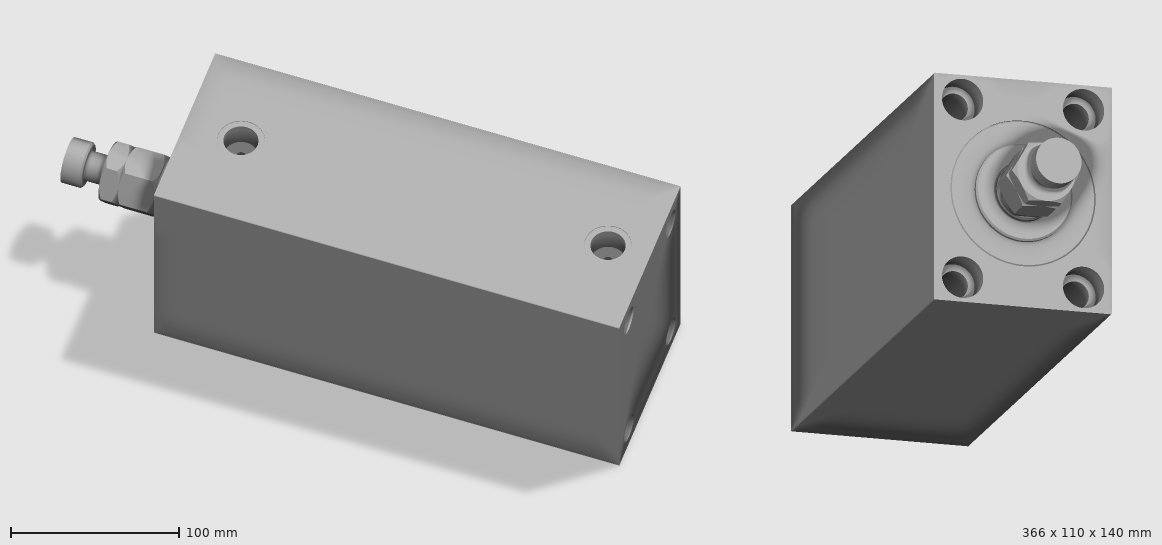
import cadquery as cq
import math


TOTAL_LENGTH = 366.0

BLOCK_LENGTH = 292.8
BLOCK_WIDTH = 110.0
BLOCK_HEIGHT = 140.0
BLOCK_EDGE_CHAMFER = 0.5

BOLT_SPACING_Y = 75.0
BOLT_SPACING_Z = 109.8
BOLT_HOLE_DIAMETER = 17.2
BOLT_HEAD_DIAMETER = 25.5
BOLT_HEAD_DEPTH = 17.5

FRONT_PORT_X = 35.5
REAR_PORT_INSET = 26.5
REAR_PORT_X = BLOCK_LENGTH - REAR_PORT_INSET
PORT_FACE_DIAMETER = 28.5
PORT_FACE_DEPTH = 0.5
PORT_DIAMETER = 21.0
PORT_DEPTH = 16.0
PORT_DRILL_DIAMETER = 6.0

GLAND_DIAMETER = 90.0
GLAND_DEPTH = 37.5
GLAND_EDGE_CHAMFER = 0.9
COLLAR_DIAMETER = 60.0
COLLAR_LENGTH = 3.3
COLLAR_CHAMFER = 1.0
GLAND_BORE_CHAMFER = 1.0

ROD_DIAMETER = 36.0
ROD_FRONT_X = -14.0
ROD_REAR_X = REAR_PORT_X + PORT_FACE_DIAMETER / 2
ROD_CHAMFER = 1.0
ROD_SHOULDER_X = -6.2
ROD_END_DIAMETER = 35.0
ROD_FLAT_SIZE = 32.0

HEAD_DIAMETER = 28.0
HEAD_LENGTH = 12.8
HEAD_CHAMFER = 1.0
NECK_DIAMETER = 18.3
NECK_LENGTH = 12.5
NECK_FILLET = 1.0
HEX_FLAT_SIZE = 36.0
HEX_CHAMFER_LENGTH = 2.5
HEAD_FRONT_X = BLOCK_LENGTH - TOTAL_LENGTH
NECK_FRONT_X = HEAD_FRONT_X + HEAD_LENGTH
THIN_HEX_X = NECK_FRONT_X + NECK_LENGTH
THICK_HEX_X = -36.2


def rod_along_x(diameter, start_x, end_x):
    """Round bar on the main axis between two X positions."""
    return cq.Workplane("YZ", origin=(start_x, 0, 0)).circle(diameter / 2).extrude(end_x - start_x)


def hole_down(x, diameter, depth):
    """Cutter for a round hole going down from the top face."""
    return cq.Workplane("XY", origin=(x, 0, BLOCK_HEIGHT / 2)).circle(diameter / 2).extrude(-depth)


def make_port(x):
    """Cutter for a port: shallow face, main bore and a fine drilling down to the rod axis."""
    port = hole_down(x, PORT_FACE_DIAMETER, PORT_FACE_DEPTH)
    port = port.union(hole_down(x, PORT_DIAMETER, PORT_DEPTH))
    return port.union(hole_down(x, PORT_DRILL_DIAMETER, BLOCK_HEIGHT / 2))


def make_housing():
    """Block with bolt holes, a bore for the gland, a deeper bore for the rod and two ports."""
    block = cq.Workplane("XY").box(BLOCK_LENGTH, BLOCK_WIDTH, BLOCK_HEIGHT, centered=(False, True, True))
    block = block.edges("|X").chamfer(BLOCK_EDGE_CHAMFER)
    block = (
        block.faces("<X")
        .workplane(origin=(0, 0, 0))
        .rarray(BOLT_SPACING_Y, BOLT_SPACING_Z, 2, 2)
        .cboreHole(BOLT_HOLE_DIAMETER, BOLT_HEAD_DIAMETER, BOLT_HEAD_DEPTH)
    )
    gland_bore = rod_along_x(GLAND_DIAMETER, 0, GLAND_DEPTH)
    rod_bore = rod_along_x(ROD_DIAMETER, 0, ROD_REAR_X)
    block = block.cut(gland_bore).cut(rod_bore)
    for port_x in (FRONT_PORT_X, REAR_PORT_X):
        block = block.cut(make_port(port_x))
    return block


def make_gland():
    """Flush bushing with a chamfered rim and a raised collar around the rod."""
    body = rod_along_x(GLAND_DIAMETER, 0, GLAND_DEPTH).faces("<X").chamfer(GLAND_EDGE_CHAMFER)
    collar = rod_along_x(COLLAR_DIAMETER, -COLLAR_LENGTH, 0).faces("<X").chamfer(COLLAR_CHAMFER)
    gland = body.union(collar).cut(rod_along_x(ROD_DIAMETER, -COLLAR_LENGTH, GLAND_DEPTH))
    return gland.faces("<X").edges(cq.selectors.RadiusNthSelector(0)).chamfer(GLAND_BORE_CHAMFER)


def make_rod():
    """Plain rod with a chamfered shoulder and a slightly thinner end that carries wrench flats."""
    shaft = rod_along_x(ROD_DIAMETER, ROD_SHOULDER_X, ROD_REAR_X).faces("<X").chamfer(ROD_CHAMFER)
    end = rod_along_x(ROD_END_DIAMETER, ROD_FRONT_X, ROD_SHOULDER_X)
    end_length = ROD_SHOULDER_X - ROD_FRONT_X
    square = (
        cq.Workplane("YZ", origin=(ROD_FRONT_X, 0, 0))
        .rect(ROD_FLAT_SIZE, ROD_FLAT_SIZE)
        .extrude(end_length)
    )
    return end.intersect(square).union(shaft)


def make_hexagon(start_x, end_x):
    """Hexagon with flats facing up and down and conical chamfers on both ends."""
    corner_radius = HEX_FLAT_SIZE / math.sqrt(3)
    face_radius = HEX_FLAT_SIZE / 2
    prism = cq.Workplane("YZ", origin=(start_x, 0, 0)).polygon(6, 2 * corner_radius).extrude(end_x - start_x)
    envelope = (
        cq.Workplane("XY")
        .moveTo(start_x, 0)
        .lineTo(start_x, face_radius)
        .lineTo(start_x + HEX_CHAMFER_LENGTH, corner_radius)
        .lineTo(end_x - HEX_CHAMFER_LENGTH, corner_radius)
        .lineTo(end_x, face_radius)
        .lineTo(end_x, 0)
        .close()
        .revolve(360, (0, 0, 0), (1, 0, 0))
    )
    return prism.intersect(envelope)


def make_coupling():
    """Turned head and neck, with fillets at both ends of the neck, followed by two hexagons."""
    head = rod_along_x(HEAD_DIAMETER, HEAD_FRONT_X, NECK_FRONT_X).faces(">X").chamfer(HEAD_CHAMFER)
    neck = rod_along_x(NECK_DIAMETER, NECK_FRONT_X, THIN_HEX_X)
    coupling = head.union(neck).union(make_hexagon(THIN_HEX_X, THICK_HEX_X))
    neck_region = cq.selectors.BoxSelector(
        (NECK_FRONT_X - HEAD_CHAMFER / 2, -NECK_DIAMETER, -NECK_DIAMETER),
        (THIN_HEX_X + HEAD_CHAMFER / 2, NECK_DIAMETER, NECK_DIAMETER),
    )
    neck_edges = coupling.edges(neck_region).edges(cq.selectors.RadiusNthSelector(0))
    coupling = neck_edges.fillet(NECK_FILLET)
    return coupling.union(make_hexagon(THICK_HEX_X, ROD_FRONT_X))


housing = make_housing()
gland = make_gland()
rod = make_rod()
coupling = make_coupling()

result = cq.Compound.makeCompound([housing.val(), gland.val(), rod.val(), coupling.val()])